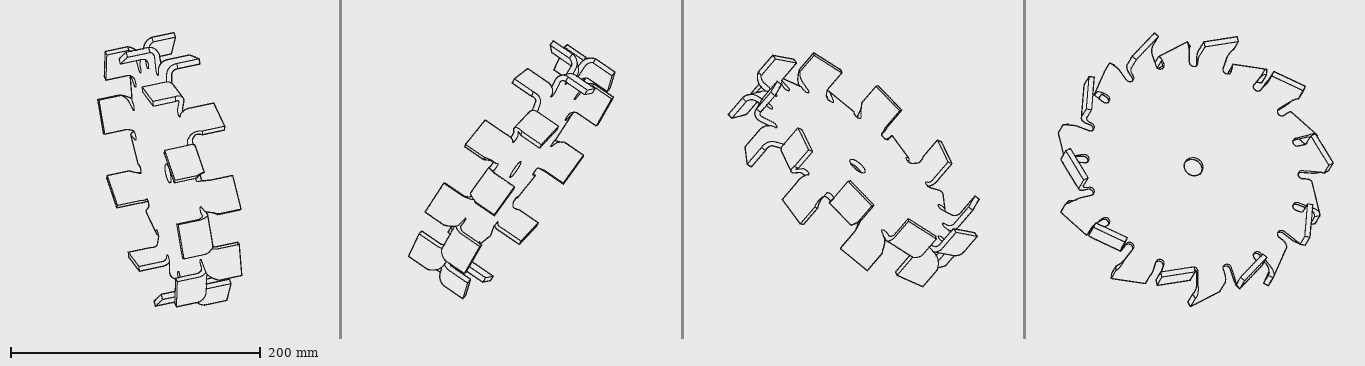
import cadquery as cq
import math

tooth_count = 20
overall_height = 219.2
overall_width = 50.5
sheet = 4.4
bend_radius = 4.2
neutral_radius = 5.7
tooth_tilt = 22.5
bore_diameter = 15.3
slot_width = 6.8
slot_floor_radius = 85.7
bend_steps = 6

pitch = 360 / tooth_count
slot_half = slot_width / 2
half_sheet = sheet / 2
flat_length = overall_width / 2 - half_sheet - bend_radius

trailing_lean = math.radians(tooth_tilt - pitch / 2)
leading_lean = math.radians(tooth_tilt + pitch / 2)

overall_radius = overall_height / 2
bend_length = neutral_radius * math.pi / 2
bend_line_distance = (
    math.cos(leading_lean) * overall_radius
    - math.cos(leading_lean) ** 2 * (bend_radius + sheet)
    - math.sin(leading_lean) ** 2 * bend_length
    + math.sin(leading_lean) * slot_half
)


def side_x(lean, side, z):
    """X of the slot wall that bounds a tooth, at height z on the unbent sheet."""
    return z * math.tan(lean) + side * slot_half / math.cos(lean)


def sheet_section(angle):
    """Cross-section of the sheet after it has been bent by the given angle."""
    z_unbent = bend_line_distance + neutral_radius * angle
    left = side_x(trailing_lean, 1, z_unbent)
    right = side_x(leading_lean, -1, z_unbent)
    axis_y = -half_sheet - bend_radius
    corners = []
    for x, radius in (
        (left, bend_radius),
        (right, bend_radius),
        (right, bend_radius + sheet),
        (left, bend_radius + sheet),
    ):
        y = axis_y + radius * math.cos(angle)
        z = bend_line_distance + radius * math.sin(angle)
        corners.append(cq.Vector(x, y, z))
    return cq.Wire.makePolygon(corners, close=True)


def make_bent_tooth():
    """Bend and straight tab of one tooth, turned towards -Y."""
    angles = [math.pi / 2 * step / bend_steps for step in range(bend_steps + 1)]
    sections = [sheet_section(angle) for angle in angles]
    bend = cq.Solid.makeLoft(sections)
    tab = cq.Solid.extrudeLinear(sections[-1], [], cq.Vector(0, -flat_length, 0))
    tooth = cq.Workplane(bend).union(cq.Workplane(tab))
    return tooth.rotate((0, 0, 0), (0, 1, 0), -math.degrees(trailing_lean))


def turned(x, z, angle):
    """Point (x, z) turned about the disc axis by an angle that carries +X towards +Z."""
    return (
        x * math.cos(angle) - z * math.sin(angle),
        x * math.sin(angle) + z * math.cos(angle),
    )


def make_disc():
    """Flat disc with its bore and slots; its edge follows the bend lines of the teeth."""
    left = side_x(trailing_lean, 1, bend_line_distance)
    right = side_x(leading_lean, -1, bend_line_distance)
    outline = []
    for index in range(tooth_count):
        angle = trailing_lean - math.radians(index * pitch)
        outline.append(turned(left, bend_line_distance, angle))
        outline.append(turned(right, bend_line_distance, angle))
    back = cq.Workplane("XZ", origin=(0, half_sheet, 0))
    disc = back.polyline(outline).close().extrude(sheet)
    disc = disc.cut(back.circle(bore_diameter / 2).extrude(sheet))

    slot_length = overall_radius + slot_half - slot_floor_radius
    slot = (
        back.center(0, slot_floor_radius + slot_length / 2)
        .slot2D(slot_length, slot_width, 90)
        .extrude(sheet)
    )
    for index in range(tooth_count):
        disc = disc.cut(slot.rotate((0, 0, 0), (0, 1, 0), index * pitch))
    return disc


front_tooth = make_bent_tooth()
back_tooth = front_tooth.mirror("XZ")

result = make_disc()
for index in range(tooth_count):
    tooth = front_tooth if index % 2 == 0 else back_tooth
    result = result.union(tooth.rotate((0, 0, 0), (0, 1, 0), index * pitch))